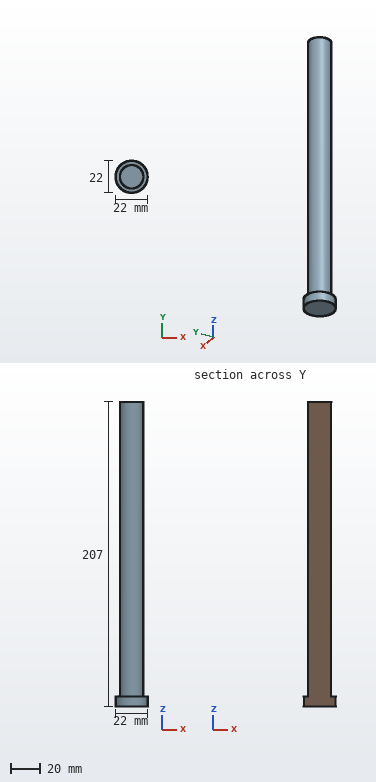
import cadquery as cq

total_length = 207.0
head_diameter = 22.0
head_height = 7.0
shaft_diameter = 16.0
root_fillet = 0.5

head_radius = head_diameter / 2
shaft_radius = shaft_diameter / 2

half_profile = (
    cq.Workplane("XZ")
    .lineTo(head_radius, 0)
    .lineTo(head_radius, head_height)
    .lineTo(shaft_radius + root_fillet, head_height)
    .radiusArc((shaft_radius, head_height + root_fillet), root_fillet)
    .lineTo(shaft_radius, total_length)
    .lineTo(0, total_length)
    .close()
)

result = half_profile.revolve(360, (0, 0, 0), (0, 1, 0))